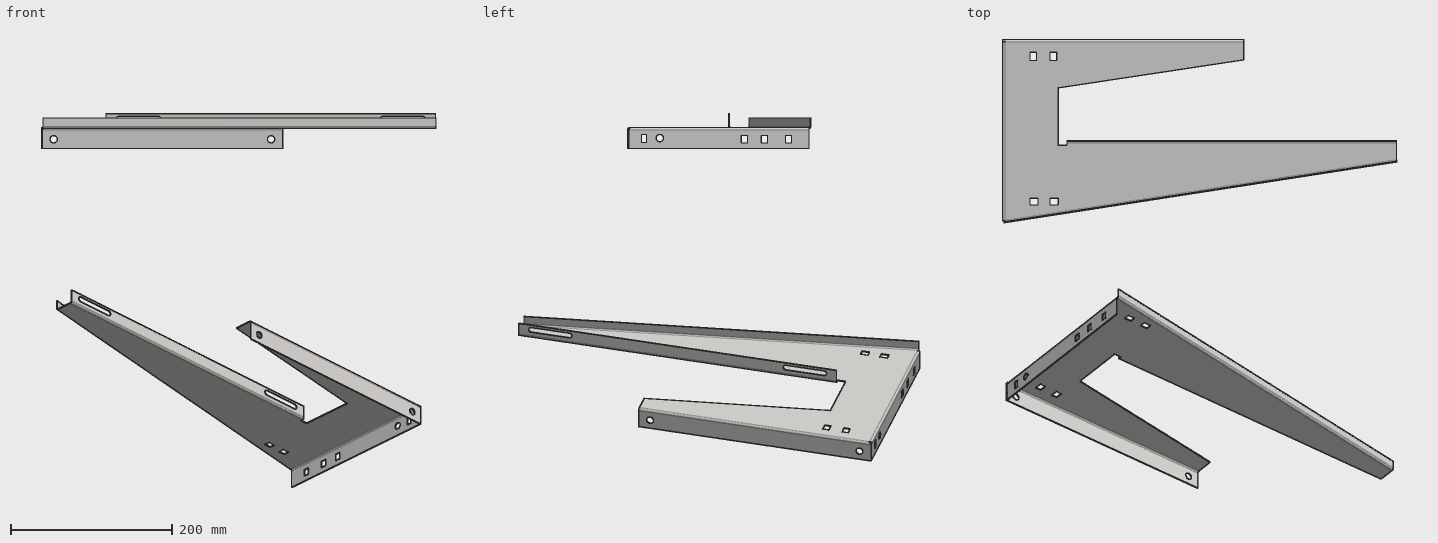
import cadquery as cq
import math

thickness = 1.5
bend_radius = 3.0
overall_length = 490.0
overall_width = 228.0
overall_height = 43.5
plate_top = 26.5
plate_bottom = plate_top - thickness
front_flange_top = 38.0

taper = math.radians(8.8)
front_corner_x = 2.0
arm_end = overall_length - bend_radius * math.sin(taper)
rear_arm_end = 300.0
rear_arm_tip_y = 202.5
throat_x = 69.5
throat_rear_y = 167.5
throat_front_y = 96.5
upstand_y = 102.5
upstand_start = 80.0
side_flange_start = 2.5
corner_gap = 0.25

bolt_diameter = 9.0
rear_hole_z = 12.0
side_round_hole_z = 13.0
side_slot_z = 12.5
side_window_z = 12.0
rear_hole_xs = (15.0, 285.0)
side_round_hole_y = 187.5
side_slot_y = 207.5
side_slot_size = (6.0, 10.0)
side_window_ys = (83.0, 58.0, 28.0)
side_window_size = (7.5, 9.0)
plate_hole_short = 8.0
plate_hole_long = 10.0
plate_hole_pitch = 25.0
rear_plate_hole = (38.0, 207.0)
front_plate_hole = (39.0, 26.5)
upstand_slot_length = 56.0
upstand_slot_height = 7.0
upstand_slot_xs = (120.5, 449.0)
upstand_slot_z = 36.8


def front_bend_y(x):
    """Y of the line where the plate runs into the front bend."""
    return (x - front_corner_x) * math.tan(taper) + bend_radius / math.cos(taper)


def flange(start, angle, length, reach, upward):
    """Bend and wall along a plate edge; the outside lies to the right of the edge direction."""
    along = cq.Vector(math.cos(angle), math.sin(angle), 0)
    outward = cq.Vector(math.sin(angle), -math.cos(angle), 0)
    plane = cq.Plane(origin=(*start, 0), xDir=outward, normal=along * -1)
    side = 1 if upward else -1
    outer_face = plate_bottom if upward else plate_top
    inner_face = outer_face + side * thickness
    centre = outer_face + side * bend_radius
    inner_radius = bend_radius - thickness
    diagonal = math.sqrt(0.5)
    return (
        cq.Workplane(plane)
        .moveTo(0, outer_face)
        .threePointArc(
            (bend_radius * diagonal, centre - side * bend_radius * diagonal),
            (bend_radius, centre),
        )
        .lineTo(bend_radius, reach)
        .lineTo(inner_radius, reach)
        .lineTo(inner_radius, centre)
        .threePointArc(
            (inner_radius * diagonal, centre - side * inner_radius * diagonal),
            (0, inner_face),
        )
        .close()
        .extrude(-length)
    )


rear_bend_y = overall_width - bend_radius
upstand_bend_y = upstand_y - bend_radius
plate = (
    cq.Workplane("XY", origin=(0, 0, plate_bottom))
    .polyline([
        (bend_radius, front_bend_y(bend_radius)),
        (arm_end, front_bend_y(arm_end)),
        (arm_end, upstand_bend_y),
        (upstand_start, upstand_bend_y),
        (upstand_start, throat_front_y),
        (throat_x, throat_front_y),
        (throat_x, throat_rear_y),
        (rear_arm_end, rear_arm_tip_y),
        (rear_arm_end, rear_bend_y),
        (bend_radius, rear_bend_y),
    ])
    .close()
    .extrude(thickness)
)

front_bend_start_x = front_corner_x - bend_radius * math.sin(taper)
front_flange = flange(
    (front_bend_start_x, front_bend_y(front_bend_start_x)),
    taper,
    (arm_end - front_bend_start_x) / math.cos(taper),
    front_flange_top,
    upward=True,
)
upstand = flange(
    (arm_end, upstand_bend_y), math.pi, arm_end - upstand_start, overall_height, upward=True
)
rear_flange = flange((rear_arm_end, rear_bend_y), math.pi, rear_arm_end, 0, upward=False)
side_flange_end = overall_width - thickness - corner_gap
side_flange = flange(
    (bend_radius, side_flange_end),
    -math.pi / 2,
    side_flange_end - side_flange_start,
    0,
    upward=False,
)
result = plate.union(front_flange).union(upstand).union(rear_flange).union(side_flange)

for (first_x, hole_y), size in (
    (rear_plate_hole, (plate_hole_short, plate_hole_long)),
    (front_plate_hole, (plate_hole_long, plate_hole_short)),
):
    for hole_x in (first_x, first_x + plate_hole_pitch):
        result = result.cut(
            cq.Workplane("XY", origin=(hole_x, hole_y, plate_bottom)).rect(*size).extrude(thickness)
        )

side_holes = (
    cq.Workplane("YZ")
    .center(side_round_hole_y, side_round_hole_z)
    .circle(bolt_diameter / 2)
    .extrude(thickness)
)
windows = [(side_slot_y, side_slot_z, side_slot_size)]
windows += [(y, side_window_z, side_window_size) for y in side_window_ys]
for window_y, window_z, size in windows:
    side_holes = side_holes.union(
        cq.Workplane("YZ").center(window_y, window_z).rect(*size).extrude(thickness)
    )
result = result.cut(side_holes)

rear_holes = (
    cq.Workplane("XZ", origin=(0, overall_width, 0))
    .pushPoints([(x, rear_hole_z) for x in rear_hole_xs])
    .circle(bolt_diameter / 2)
    .extrude(thickness)
)
result = result.cut(rear_holes)

upstand_slots = (
    cq.Workplane("XZ", origin=(0, upstand_y, 0))
    .pushPoints([(x, upstand_slot_z) for x in upstand_slot_xs])
    .slot2D(upstand_slot_length, upstand_slot_height)
    .extrude(thickness)
)
result = result.cut(upstand_slots)